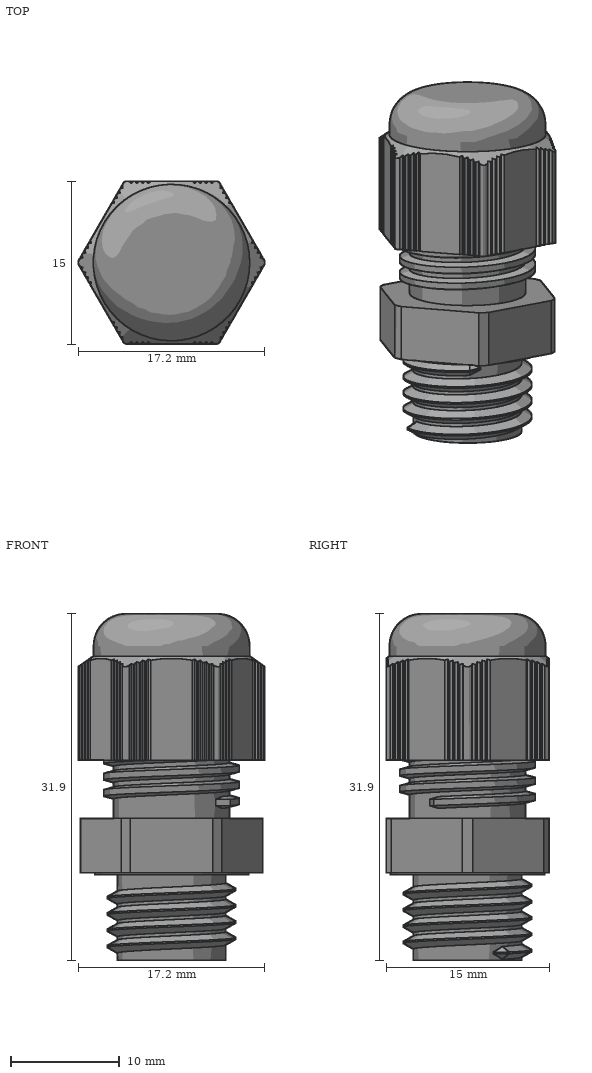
import cadquery as cq
import math

total_height = 31.92
washer_bottom = 7.87
body_hex_bottom = 8.07
body_hex_top = 13.07
nut_bottom = 18.43
neck_top = 21.4

entry_core_radius = 5.0
neck_core_radius = 5.35
washer_radius = 7.1
body_hex_corner_radius = 8.4

across_flats = 15.0
dome_radius = 7.2
dome_edge_radius = 3.0
dome_collar_height = 0.9
nut_corner_fillet = 0.4
nut_bevel_angle = 35.5
grip_groove_width = 0.38
grip_groove_depth = 0.2
grip_groove_pitch = 0.53
grip_grooves_per_side = 4
first_groove_offset = 2.12

thread_pitch = 1.5
thread_embed = 0.1
run_out_angle = 45.0

entry_tip_radius = 5.93
entry_root_width = 1.2
entry_tip_width = 0.15
entry_start_angle = 40.0
entry_start_height = 0.7
entry_turns = 4.2

neck_tip_radius = 6.25
neck_root_width = 1.08
neck_tip_width = 0.58
neck_start_angle = -30.0
neck_start_height = 14.54
neck_turns = 3.0

hex_sides = 6
hex_corner_circle = across_flats / math.cos(math.pi / hex_sides)
nut_bevel_top = total_height - dome_edge_radius - dome_collar_height


def cylinder(radius, bottom, top):
    """Upright cylinder on the Z axis."""
    return cq.Workplane("XY").workplane(offset=bottom).circle(radius).extrude(top - bottom)


def hex_prism(bottom, top):
    """Upright hexagon with corners on the X axis and flats facing +Y and -Y."""
    profile = cq.Workplane("XY").workplane(offset=bottom).polygon(hex_sides, hex_corner_circle)
    return profile.extrude(top - bottom)


def thread(core_radius, tip_radius, root_width, tip_width, start_angle, start_height, turns):
    """Helical ridge, sunk a little into its core, that dives into the core at both ends."""
    flank_slope = (root_width - tip_width) / 2 / (tip_radius - core_radius)
    inner_radius = core_radius - thread_embed
    inner_half_width = root_width / 2 + flank_slope * thread_embed
    tip_half_width = tip_width / 2
    profile = cq.Workplane("XZ").polyline([
        (inner_radius, -inner_half_width),
        (tip_radius, -tip_half_width),
        (tip_radius, tip_half_width),
        (inner_radius, inner_half_width),
    ]).close()
    rise = turns * thread_pitch
    path = cq.Workplane(obj=cq.Wire.makeHelix(thread_pitch, rise, core_radius))
    ridge = profile.sweep(path, isFrenet=True)

    inward = tip_radius - inner_radius
    along = inward * math.tan(math.radians(run_out_angle))
    outline = profile.wires().val()
    start_run_out = cq.Solid.extrudeLinear(outline, [], cq.Vector(-inward, -along, 0))
    end_run_out = cq.Solid.extrudeLinear(outline, [], cq.Vector(-inward, along, 0))
    end_run_out = end_run_out.rotate(cq.Vector(0, 0, 0), cq.Vector(0, 0, 1), turns * 360)
    end_run_out = end_run_out.translate(cq.Vector(0, 0, rise))
    pieces = [ridge.val(), start_run_out, end_run_out]
    return [
        piece.rotate(cq.Vector(0, 0, 0), cq.Vector(0, 0, 1), start_angle)
        .translate(cq.Vector(0, 0, start_height))
        for piece in pieces
    ]


def make_body():
    """Entry stub, washer face, spanner hexagon and the neck that reaches up inside the nut."""
    corner_round = cylinder(body_hex_corner_radius, body_hex_bottom, body_hex_top)
    body = hex_prism(body_hex_bottom, body_hex_top).intersect(corner_round)
    body = body.union(cylinder(entry_core_radius, 0, body_hex_bottom))
    body = body.union(cylinder(washer_radius, washer_bottom, body_hex_bottom))
    return body.union(cylinder(neck_core_radius, body_hex_top, neck_top))


def cut_grip_grooves(nut):
    """V-grooves beside every corner of the nut, on both halves of each flat."""
    flat_distance = across_flats / 2
    half_width = grip_groove_width / 2
    grooves = cq.Workplane("XY").workplane(offset=nut_bottom)
    for index in range(grip_grooves_per_side):
        offset = first_groove_offset + index * grip_groove_pitch
        for centre in (-offset, offset):
            grooves = (
                grooves
                .moveTo(centre - half_width, flat_distance)
                .lineTo(centre, flat_distance - grip_groove_depth)
                .lineTo(centre + half_width, flat_distance)
                .close()
            )
    grooves = grooves.extrude(nut_bevel_top - nut_bottom)
    for side in range(hex_sides):
        nut = nut.cut(grooves.rotate((0, 0, 0), (0, 0, 1), side * 360 / hex_sides))
    return nut


def make_nut():
    """Bevelled, grooved hexagon under a domed cap."""
    nut = hex_prism(nut_bottom, nut_bevel_top).edges("|Z").fillet(nut_corner_fillet)
    nut = cut_grip_grooves(nut)

    bevel_outer_radius = hex_corner_circle / 2
    bevel_drop = (bevel_outer_radius - dome_radius) * math.tan(math.radians(nut_bevel_angle))
    bevel_envelope = (
        cq.Workplane("XZ")
        .moveTo(0, nut_bottom)
        .lineTo(bevel_outer_radius, nut_bottom)
        .lineTo(bevel_outer_radius, nut_bevel_top - bevel_drop)
        .lineTo(dome_radius, nut_bevel_top)
        .lineTo(0, nut_bevel_top)
        .close()
        .revolve()
    )
    nut = nut.intersect(bevel_envelope)

    dome = cylinder(dome_radius, nut_bevel_top, total_height)
    dome = dome.faces(">Z").edges().fillet(dome_edge_radius)
    return nut.union(dome)


entry_thread = thread(
    entry_core_radius, entry_tip_radius, entry_root_width, entry_tip_width,
    entry_start_angle, entry_start_height, entry_turns,
)
neck_thread = thread(
    neck_core_radius, neck_tip_radius, neck_root_width, neck_tip_width,
    neck_start_angle, neck_start_height, neck_turns,
)
result = make_body()
for ridge_piece in entry_thread + neck_thread:
    result = result.union(cq.Workplane(obj=ridge_piece))
result = result.union(make_nut())